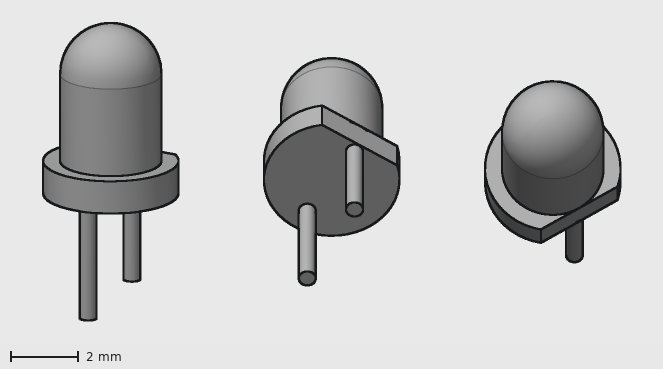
import cadquery as cq

lens_diameter = 3.0
lens_radius = lens_diameter / 2

flange_diameter = 4.0
flange_radius = flange_diameter / 2
flange_height = 1.0
flat_y = lens_radius

lead_diameter = 0.5
lead_pitch = 2.54
short_lead_y = 1.225
long_lead_y = short_lead_y - lead_pitch
short_lead_length = 3.0
long_lead_length = 3.5

total_height = 8.69
lens_straight_height = total_height - long_lead_length - flange_height - lens_radius


def make_flange():
    """Disc standing on Z = 0, cut off flat on its +Y side."""
    disc = cq.Workplane("XY").circle(flange_radius).extrude(flange_height)
    kept_depth = flange_radius + flat_y
    kept_side = (
        cq.Workplane("XY")
        .center(0, flat_y - kept_depth / 2)
        .rect(flange_diameter, kept_depth)
        .extrude(flange_height)
    )
    return disc.intersect(kept_side)


def make_lens():
    """Half profile of the domed lens, revolved about the Z axis."""
    dome_base_z = flange_height + lens_straight_height
    dome_top_z = dome_base_z + lens_radius
    dome_middle = lens_radius * 0.5**0.5
    return (
        cq.Workplane("XZ")
        .moveTo(0, flange_height)
        .lineTo(lens_radius, flange_height)
        .lineTo(lens_radius, dome_base_z)
        .threePointArc((dome_middle, dome_base_z + dome_middle), (0, dome_top_z))
        .close()
        .revolve(360, (0, 0, 0), (0, 1, 0))
    )


def make_housing():
    """Flange and lens, moulded as one body."""
    return make_flange().union(make_lens())


def make_lead(y, length):
    """Round lead hanging from the underside of the flange."""
    return cq.Workplane("XY").center(0, y).circle(lead_diameter / 2).extrude(-length)


housing = make_housing()

leads = []
for lead_y, lead_length in ((short_lead_y, short_lead_length), (long_lead_y, long_lead_length)):
    leads.append(make_lead(lead_y, lead_length).val())

result = cq.Compound.makeCompound([housing.val(), *leads])